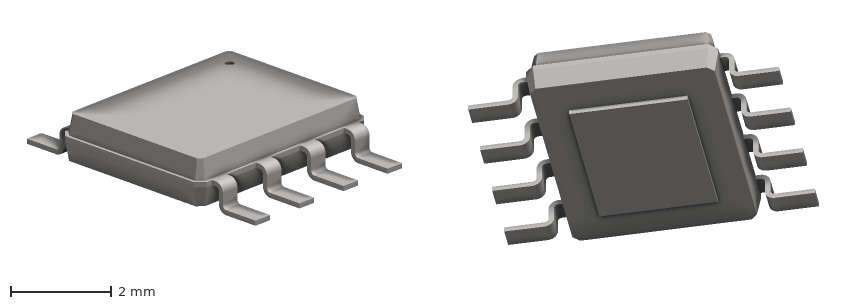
import cadquery as cq
import math

body_length_x = 3.9
body_length_y = 4.9
body_bottom = 0.1
body_top = 1.1
corner_chamfer = 0.18
draft_angle = 10
cap_ledge = 0.075

lead_span = 6.3
lead_width = 0.42
lead_thickness = 0.11
lead_pitch = 1.27
leads_per_side = 4
lead_top = 0.65
lead_riser_outer_x = 2.25
bend_inner_radius = 0.09
bend_outer_radius = bend_inner_radius + lead_thickness

band_bottom = lead_top - lead_thickness

pad_length_x = 2.4
pad_length_y = 3.2

dimple_diameter = 0.2
dimple_depth = 0.05
dimple_edge_distance = 0.5


def chamfered_prism(inset, start_z, end_z, draft=0):
    """Body outline, offset inward by inset, extruded from start_z to end_z with a draft."""
    chamfer_leg = corner_chamfer - inset * (2 - math.sqrt(2))
    outline = (
        cq.Sketch()
        .rect(body_length_x - 2 * inset, body_length_y - 2 * inset)
        .vertices()
        .chamfer(chamfer_leg)
    )
    return (
        cq.Workplane("XY", origin=(0, 0, start_z))
        .placeSketch(outline)
        .extrude(end_z - start_z, taper=draft)
    )


def make_body():
    """Straight parting band with a drafted base below and a set-back drafted cap above."""
    band = chamfered_prism(0, band_bottom, lead_top)
    base_height = band_bottom - body_bottom
    base = chamfered_prism(0, 0, base_height, draft_angle)
    base = base.rotate((0, 0, 0), (1, 0, 0), 180).translate((0, 0, band_bottom))
    cap = chamfered_prism(cap_ledge, lead_top, body_top, draft_angle)
    return band.union(base).union(cap)


def make_lead(y_center):
    """One lead on the +X side: shoulder, bend down, riser, bend outward and foot."""
    riser_inner_x = lead_riser_outer_x - lead_thickness
    tip_x = lead_span / 2
    root_x = body_length_x / 2 - cap_ledge
    shoulder_end_x = lead_riser_outer_x - bend_outer_radius
    foot_start_x = riser_inner_x + bend_outer_radius
    upper_bend_z = lead_top - bend_outer_radius
    lower_bend_z = bend_outer_radius
    diagonal = math.sqrt(0.5)
    outer_mid = bend_outer_radius * diagonal
    inner_mid = bend_inner_radius * diagonal
    return (
        cq.Workplane("XZ", origin=(0, y_center, 0))
        .moveTo(root_x, lead_top)
        .lineTo(shoulder_end_x, lead_top)
        .threePointArc(
            (shoulder_end_x + outer_mid, upper_bend_z + outer_mid),
            (lead_riser_outer_x, upper_bend_z),
        )
        .lineTo(lead_riser_outer_x, lower_bend_z)
        .threePointArc(
            (foot_start_x - inner_mid, lower_bend_z - inner_mid),
            (foot_start_x, lead_thickness),
        )
        .lineTo(tip_x, lead_thickness)
        .lineTo(tip_x, 0)
        .lineTo(foot_start_x, 0)
        .threePointArc(
            (foot_start_x - outer_mid, lower_bend_z - outer_mid),
            (riser_inner_x, lower_bend_z),
        )
        .lineTo(riser_inner_x, upper_bend_z)
        .threePointArc(
            (shoulder_end_x + inner_mid, upper_bend_z + inner_mid),
            (shoulder_end_x, band_bottom),
        )
        .lineTo(root_x, band_bottom)
        .close()
        .extrude(lead_width / 2, both=True)
    )


def make_thermal_pad():
    """Flat pad filling the height between the seating plane and the body underside."""
    return cq.Workplane("XY").box(
        pad_length_x, pad_length_y, body_bottom, centered=(True, True, False)
    )


def make_pin_one_dimple():
    """Shallow round dimple near the -X, +Y corner of the top face."""
    top_inset = cap_ledge + (body_top - lead_top) * math.tan(math.radians(draft_angle))
    x = -(body_length_x / 2 - top_inset - dimple_edge_distance)
    y = body_length_y / 2 - top_inset - dimple_edge_distance
    return (
        cq.Workplane("XY", origin=(x, y, body_top - dimple_depth))
        .circle(dimple_diameter / 2)
        .extrude(dimple_depth)
    )


package = make_body().union(make_thermal_pad()).cut(make_pin_one_dimple())
for index in range(leads_per_side):
    right_lead = make_lead((index - (leads_per_side - 1) / 2) * lead_pitch)
    left_lead = right_lead.mirror("YZ")
    for lead in (right_lead, left_lead):
        package = package.cut(lead).union(lead, clean=False)

result = package